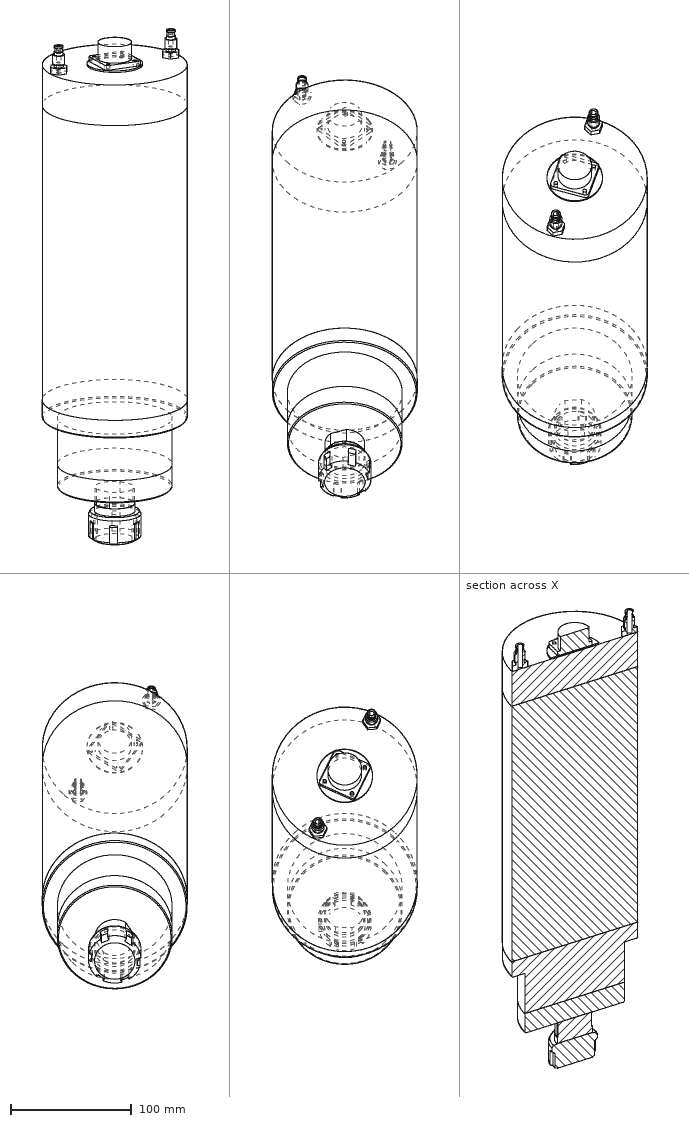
import cadquery as cq
import math


nut_height = 24.5
shaft_collar_height = 6.5
shaft_flats_height = 14.0
front_cover_height = 19.5
front_neck_height = 40.0
front_flange_height = 15.5
stator_height = 254.0
rear_cap_height = 35.0
overall_height = 432.0

shaft_bottom = nut_height
cover_bottom = shaft_bottom + shaft_collar_height + shaft_flats_height
neck_bottom = cover_bottom + front_cover_height
flange_bottom = neck_bottom + front_neck_height
stator_bottom = flange_bottom + front_flange_height
cap_bottom = stator_bottom + stator_height
cap_top = cap_bottom + rear_cap_height

motor_diameter = 120.0
front_diameter = 95.0
edge_chamfer = 1.0
spindle_clocking = 202.5

collar_diameter = 33.8
shaft_diameter = 33.0
flat_distance = 15.0

nut_diameter = 43.5
nut_top_diameter = 41.0
nut_top_chamfer_height = 2.5
nut_face_diameter = 33.4
nut_face_chamfer_height = 3.2
wrench_slot_count = 6
wrench_slot_width = 6.5
wrench_slot_depth = 2.8
wrench_slot_top = 18.0
wrench_slot_runout = 2.5

gasket_diameter = 46.0
gasket_thickness = 1.3
connector_flange_width = 33.0
connector_flange_thickness = 4.0
connector_corner_radius = 3.0
connector_diameter = 28.0
connector_height = 19.5
screw_hole_spacing = 25.0
screw_hole_diameter = 3.0

fitting_offset = 52.0
fitting_hex_across_flats = 13.0
fitting_hex_height = 5.2
fitting_neck_diameter = 8.0
fitting_neck_height = 2.3
fitting_body_diameter = 10.0
fitting_body_height = 8.0
fitting_stem_diameter = 6.5
fitting_barb_diameter = 7.4
fitting_barb_height = 2.6
fitting_tip_height = 1.5
fitting_bore_diameter = 4.0
fitting_height = overall_height - cap_top


def cylinder(diameter, bottom, height):
    return cq.Workplane("XY").workplane(offset=bottom).circle(diameter / 2).extrude(height)


def clocked(body):
    return body.rotate((0, 0, 0), (0, 0, 1), spindle_clocking)


def make_rear_cap():
    return cylinder(motor_diameter, cap_bottom, rear_cap_height)


def make_stator_housing():
    return cylinder(motor_diameter, stator_bottom, stator_height)


def make_front_housing():
    flange = cylinder(motor_diameter, flange_bottom, front_flange_height)
    flange = flange.faces("<Z").chamfer(edge_chamfer)
    neck = cylinder(front_diameter, neck_bottom, front_neck_height)
    return clocked(flange.union(neck))


def make_front_cover():
    cover = cylinder(front_diameter, cover_bottom, front_cover_height)
    return clocked(cover.faces("<Z").chamfer(edge_chamfer))


def make_shaft():
    collar = cylinder(collar_diameter, shaft_bottom, shaft_collar_height)
    flats_bottom = shaft_bottom + shaft_collar_height
    flats = cylinder(shaft_diameter, flats_bottom, shaft_flats_height)
    between_flats = (
        cq.Workplane("XY")
        .workplane(offset=flats_bottom)
        .rect(shaft_diameter, 2 * flat_distance)
        .extrude(shaft_flats_height)
    )
    return clocked(collar.union(flats.intersect(between_flats)))


def make_collet_nut():
    radius = nut_diameter / 2
    nut = (
        cq.Workplane("XZ")
        .moveTo(0, 0)
        .lineTo(nut_face_diameter / 2, 0)
        .lineTo(radius, nut_face_chamfer_height)
        .lineTo(radius, nut_height - nut_top_chamfer_height)
        .lineTo(nut_top_diameter / 2, nut_height)
        .lineTo(0, nut_height)
        .close()
        .revolve(360, (0, 0, 0), (0, 1, 0))
    )
    floor = radius - wrench_slot_depth
    slot = (
        cq.Workplane("YZ")
        .moveTo(floor, 0)
        .lineTo(floor, wrench_slot_top - wrench_slot_runout)
        .lineTo(radius, wrench_slot_top)
        .lineTo(nut_diameter, wrench_slot_top)
        .lineTo(nut_diameter, 0)
        .close()
        .extrude(wrench_slot_width / 2, both=True)
    )
    for index in range(wrench_slot_count):
        nut = nut.cut(slot.rotate((0, 0, 0), (0, 0, 1), index * 360 / wrench_slot_count))
    return nut


def make_gasket():
    return cylinder(gasket_diameter, cap_top, gasket_thickness)


def make_connector():
    bottom = cap_top + gasket_thickness
    flange = (
        cq.Workplane("XY")
        .workplane(offset=bottom)
        .rect(connector_flange_width, connector_flange_width)
        .extrude(connector_flange_thickness)
        .edges("|Z")
        .fillet(connector_corner_radius)
        .faces(">Z")
        .workplane()
        .rect(screw_hole_spacing, screw_hole_spacing, forConstruction=True)
        .vertices()
        .hole(screw_hole_diameter)
    )
    return flange.union(cylinder(connector_diameter, bottom, connector_height - gasket_thickness))


def make_fitting(y):
    hex_across_corners = fitting_hex_across_flats / math.cos(math.pi / 6)
    neck_bottom_z = cap_top + fitting_hex_height
    body_bottom_z = neck_bottom_z + fitting_neck_height
    stem_bottom_z = body_bottom_z + fitting_body_height
    tip_bottom_z = overall_height - fitting_tip_height
    hexagon = (
        cq.Workplane("XY")
        .workplane(offset=cap_top)
        .polygon(6, hex_across_corners)
        .extrude(fitting_hex_height)
        .rotate((0, 0, 0), (0, 0, 1), 90)
    )
    fitting = (
        hexagon.union(cylinder(fitting_neck_diameter, neck_bottom_z, fitting_neck_height))
        .union(cylinder(fitting_body_diameter, body_bottom_z, fitting_body_height))
        .union(cylinder(fitting_stem_diameter, stem_bottom_z, overall_height - stem_bottom_z))
        .union(cylinder(fitting_barb_diameter, stem_bottom_z, fitting_barb_height))
        .union(cylinder(fitting_barb_diameter, tip_bottom_z, fitting_tip_height))
        .cut(cylinder(fitting_bore_diameter, cap_top, fitting_height))
    )
    return fitting.translate((0, y, 0))


rear_cap = make_rear_cap()
stator_housing = make_stator_housing()
front_housing = make_front_housing()
front_cover = make_front_cover()
shaft = make_shaft()
collet_nut = make_collet_nut()
gasket = make_gasket()
connector = make_connector()
fittings = [make_fitting(y) for y in (-fitting_offset, fitting_offset)]

result = cq.Compound.makeCompound([
    rear_cap.val(),
    stator_housing.val(),
    front_housing.val(),
    front_cover.val(),
    shaft.val(),
    collet_nut.val(),
    gasket.val(),
    connector.val(),
    *[fitting.val() for fitting in fittings],
])